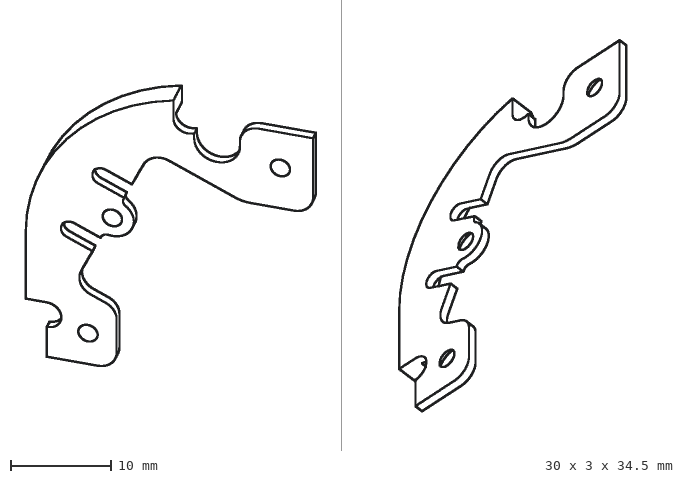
import cadquery as cq
import math

width = 30.0
height = 34.45
plate_thickness = 1.0
rim_depth = 3.0
rim_chamfer = 0.3

rim_radius = 20.0
rim_width = 2.2
rim_end_x = 15.45
rim_center_x = rim_radius
rim_center_z = height - math.sqrt(rim_radius**2 - (rim_center_x - rim_end_x) ** 2)

corner_radius = 2.0
hole_diameter = 2.0
countersink_half_angle = 45
relief_radius = 1.5

lower_tab_right = 9.5
lower_relief_z = 5.2
rim_bottom = lower_relief_z + relief_radius
lower_hole = (6.5, 3.82)

upper_tab_bottom = 23.45
upper_tab_top = 32.83
upper_relief_z = 32.2
upper_hole = (26.6, 28.45)
upper_blend_radius = 4.0
notch_radius = 2.38
notch_x = 19.98
notch_z = 30.18
notch_left = notch_x - notch_radius
notch_right = notch_x + notch_radius
ledge_width = 0.17

wall_tilt = 24.2
lug_hole = (9.05, 18.6)
lug_radius = 2.25
lug_fillet = 0.7
wall_half_length = 10.0
slot_offset = 4.0
slot_depth = 3.0
slot_radius = 1.0


def wall_point(inward, along):
    """Point measured from the lug centre, across and along the slanted wall."""
    tilt = math.radians(wall_tilt)
    x = lug_hole[0] + inward * math.cos(tilt) + along * math.sin(tilt)
    z = lug_hole[1] - inward * math.sin(tilt) + along * math.cos(tilt)
    return (x, z)


def front_sketch():
    """Sketch plane on the front face, with local Y along Z and positive depth along +Y."""
    return cq.Workplane(cq.Plane(origin=(0, 0, 0), xDir=(1, 0, 0), normal=(0, -1, 0)))


def fillet_at(body, corner, radius):
    """Round the through-thickness edge standing at one outline corner."""
    point = (corner[0], plate_thickness / 2, corner[1])
    return body.edges("|Y").edges(cq.selectors.NearestToPointSelector(point)).fillet(radius)


def arc_point(center, radius, degrees):
    angle = math.radians(degrees)
    return (center[0] + radius * math.cos(angle), center[1] + radius * math.sin(angle))


rim_center = (rim_center_x, rim_center_z)
tip_angle = math.degrees(math.atan2(height - rim_center_z, rim_end_x - rim_center_x))
rim_middle = arc_point(rim_center, rim_radius, (180 + tip_angle) / 2)


def make_plate():
    """Thin plate with its tabs, reliefs and slanted inner wall."""
    slope = math.tan(math.radians(wall_tilt))
    upper_inner = wall_point(0, wall_half_length)
    lower_inner = wall_point(0, -wall_half_length)
    upper_bend = (upper_inner[0] + (upper_inner[1] - upper_tab_bottom) / slope, upper_tab_bottom)
    lower_bend = (lower_tab_right, lower_inner[1] - (lower_tab_right - lower_inner[0]) * slope)

    relief_center = (rim_end_x + relief_radius, upper_relief_z)
    ledge_start = notch_left - ledge_width
    ledge_z = relief_center[1] - math.sqrt(relief_radius**2 - (ledge_start - relief_center[0]) ** 2)

    plate = (
        front_sketch()
        .moveTo(0, rim_bottom)
        .lineTo(0, rim_center_z)
        .threePointArc(rim_middle, (rim_end_x, height))
        .lineTo(rim_end_x, relief_center[1])
        .threePointArc(arc_point(relief_center, relief_radius, 225), (ledge_start, ledge_z))
        .lineTo(notch_left, ledge_z)
        .lineTo(notch_left, notch_z)
        .threePointArc((notch_x, notch_z - notch_radius), (notch_right, notch_z))
        .lineTo(notch_right, upper_tab_top)
        .lineTo(width, upper_tab_top)
        .lineTo(width, upper_tab_bottom)
        .lineTo(*upper_bend)
        .lineTo(*upper_inner)
        .lineTo(*lower_inner)
        .lineTo(*lower_bend)
        .lineTo(lower_tab_right, 0)
        .lineTo(rim_width, 0)
        .lineTo(rim_width, lower_relief_z - relief_radius)
        .threePointArc((rim_width + relief_radius, lower_relief_z), (rim_width, rim_bottom))
        .close()
        .extrude(-plate_thickness)
    )
    rounded_corners = [
        (notch_right, upper_tab_top),
        (width, upper_tab_bottom),
        upper_inner,
        lower_inner,
        lower_bend,
        (lower_tab_right, 0),
    ]
    for corner in rounded_corners:
        plate = fillet_at(plate, corner, corner_radius)
    return fillet_at(plate, upper_bend, upper_blend_radius)


def make_lug():
    """Round lug on the inner wall, flared into the wall by a small fillet on each side."""
    flare = math.sqrt((lug_radius + lug_fillet) ** 2 - lug_fillet**2)
    touch = lug_radius / (lug_radius + lug_fillet)
    lean = math.degrees(math.atan2(flare, lug_fillet))
    middle = arc_point((lug_fillet, flare), lug_fillet, 180 + lean / 2)
    return (
        front_sketch()
        .moveTo(*wall_point(-lug_radius, 0))
        .lineTo(*wall_point(-lug_radius, flare))
        .lineTo(*wall_point(0, flare))
        .threePointArc(wall_point(*middle), wall_point(touch * lug_fillet, touch * flare))
        .threePointArc(wall_point(lug_radius, 0), wall_point(touch * lug_fillet, -touch * flare))
        .threePointArc(wall_point(middle[0], -middle[1]), wall_point(0, -flare))
        .lineTo(*wall_point(-lug_radius, -flare))
        .close()
        .extrude(-plate_thickness)
    )


def make_slot(along):
    """Round-ended slot running into the plate from the inner wall."""
    return (
        front_sketch()
        .moveTo(*wall_point(slot_radius, along + slot_radius))
        .lineTo(*wall_point(-slot_depth, along + slot_radius))
        .threePointArc(
            wall_point(-slot_depth - slot_radius, along),
            wall_point(-slot_depth, along - slot_radius),
        )
        .lineTo(*wall_point(slot_radius, along - slot_radius))
        .close()
        .extrude(-plate_thickness)
    )


def make_rim():
    """Deep rim along the outer edge, chamfered along its outer back edge."""
    inner_radius = rim_radius - rim_width
    inner_end_z = rim_center_z + math.sqrt(inner_radius**2 - (rim_center_x - rim_end_x) ** 2)
    inner_middle = arc_point(rim_center, inner_radius, (180 + tip_angle) / 2)
    rim = (
        front_sketch()
        .moveTo(0, rim_bottom)
        .lineTo(0, rim_center_z)
        .threePointArc(rim_middle, (rim_end_x, height))
        .lineTo(rim_end_x, inner_end_z)
        .threePointArc(inner_middle, (rim_width, rim_center_z))
        .lineTo(rim_width, rim_bottom)
        .close()
        .extrude(-rim_depth)
    )
    straight_middle = (0, rim_depth, (rim_bottom + rim_center_z) / 2)
    outer_edge = cq.selectors.NearestToPointSelector(straight_middle)
    return rim.faces(">Y").edges(outer_edge).chamfer(rim_chamfer)


holes = (
    front_sketch()
    .pushPoints([lower_hole, lug_hole, upper_hole])
    .circle(hole_diameter / 2)
    .extrude(-plate_thickness, taper=-countersink_half_angle)
)

result = make_plate().union(make_lug()).union(make_rim())
for side in (-1, 1):
    result = result.cut(make_slot(side * slot_offset))
result = result.cut(holes)